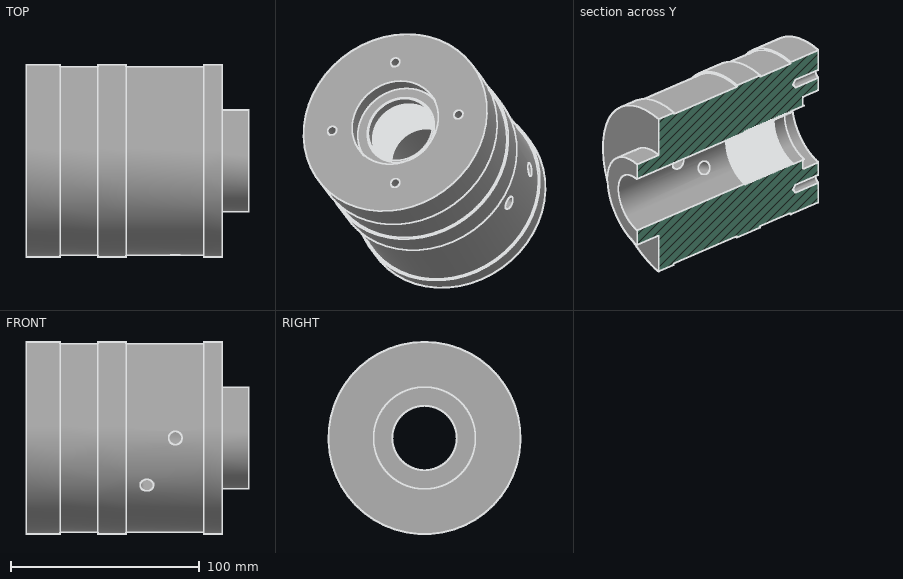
import cadquery as cq
import math

length = 118.0
front_band_end = 18.0
middle_band_start = 38.0
middle_band_end = 53.0
rear_band_start = 94.0
rear_band_end = 104.0

band_radius = 51.0
body_radius = 50.0
boss_radius = 27.0

counterbore_radius = 24.0
counterbore_depth = 10.0
entry_radius = 17.8
entry_depth = 6.8
bore_radius = 17.0

lip_base_radius = 18.6
lip_height = 0.7

groove_pitch = 1.3
groove_count = 24
groove_flank_angle = 60.0
crest_flat = groove_pitch / 4
root_flat = groove_pitch / 8
flank_run = (groove_pitch - crest_flat - root_flat) / 2
groove_radius = bore_radius + flank_run / math.tan(math.radians(groove_flank_angle / 2))

bolt_circle_radius = 35.0
bolt_hole_radius = 2.5
bolt_hole_depth = 15.0
bolt_hole_count = 4
drill_tip_angle = 118.0

side_hole_radius = 3.5
side_holes = [(79.1, 0.0), (64.0, 30.0)]


def revolve_about_x(points):
    """Solid of revolution from an outline of (X, radius) points."""
    outline = cq.Workplane("XZ").polyline(points).close()
    return outline.revolve(360, (0, 0, 0), (1, 0, 0))


def outer_body():
    points = [
        (0, 0),
        (0, band_radius),
        (front_band_end, band_radius),
        (front_band_end, body_radius),
        (middle_band_start, body_radius),
        (middle_band_start, band_radius),
        (middle_band_end, band_radius),
        (middle_band_end, body_radius),
        (rear_band_start, body_radius),
        (rear_band_start, band_radius),
        (rear_band_end, band_radius),
        (rear_band_end, boss_radius),
        (length, boss_radius),
        (length, 0),
    ]
    return revolve_about_x(points)


def bore_cutter():
    """Stepped bore with truncated V grooves, leaving the lip on the counterbore floor."""
    entry_end = counterbore_depth + entry_depth
    points = [
        (0, 0),
        (0, counterbore_radius),
        (counterbore_depth, counterbore_radius),
        (counterbore_depth, lip_base_radius),
        (counterbore_depth - lip_height, entry_radius),
        (entry_end, entry_radius),
        (entry_end, bore_radius),
    ]
    for i in range(groove_count):
        start = entry_end + i * groove_pitch
        points += [
            (start + crest_flat, bore_radius),
            (start + crest_flat + flank_run, groove_radius),
            (start + crest_flat + flank_run + root_flat, groove_radius),
            (start + groove_pitch, bore_radius),
        ]
    points += [(length, bore_radius), (length, 0)]
    return revolve_about_x(points)


def bolt_hole_cutter():
    tip_length = bolt_hole_radius / math.tan(math.radians(drill_tip_angle / 2))
    points = [
        (0, 0),
        (0, bolt_hole_radius),
        (bolt_hole_depth, bolt_hole_radius),
        (bolt_hole_depth + tip_length, 0),
    ]
    return revolve_about_x(points).translate((0, 0, bolt_circle_radius))


def side_hole_cutter(station, angle):
    hole = cq.Workplane("XZ").center(station, 0).circle(side_hole_radius).extrude(band_radius)
    return hole.rotate((0, 0, 0), (1, 0, 0), angle)


result = outer_body().cut(bore_cutter())

for i in range(bolt_hole_count):
    turn = i * 360 / bolt_hole_count
    result = result.cut(bolt_hole_cutter().rotate((0, 0, 0), (1, 0, 0), turn))

for station, angle in side_holes:
    result = result.cut(side_hole_cutter(station, angle))